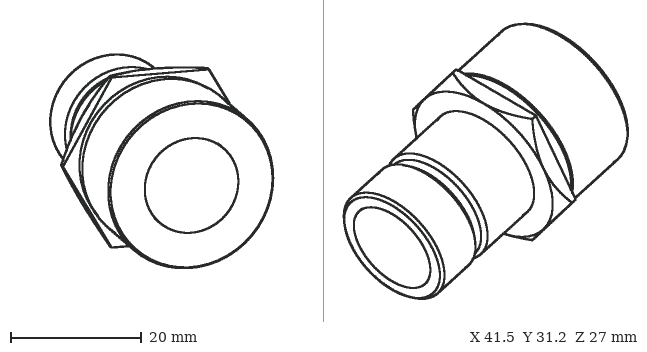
import cadquery as cq
import math

total_length = 41.5
groove_start = 8.1
groove_end = 11.05
hex_start = 22.45
hex_thickness = 3.0
neck_length = 2.15

bore_diameter = 15.0
spigot_diameter = 19.75
groove_diameter = 18.35
neck_diameter = 25.9
socket_diameter = 26.44
hex_sides = 6
across_flats = 27.0

spigot_chamfer = 0.5
socket_chamfer_length = 0.45
socket_chamfer_angle = 30.0
socket_shoulder_length = 0.15
hex_chamfer_angle = 45.0

x_start = -total_length / 2
x_end = x_start + total_length
hex_x = x_start + hex_start
neck_x = hex_x + hex_thickness
socket_x = neck_x + neck_length
across_corners = across_flats / math.cos(math.pi / hex_sides)
groove_depth = (spigot_diameter - groove_diameter) / 2


def cylinder(x, length, diameter):
    """Solid cylinder along X, beginning at x."""
    return cq.Workplane("YZ", origin=(x, 0, 0)).circle(diameter / 2).extrude(length)


def revolved(points):
    """Solid swept about the X axis from a closed (x, radius) outline."""
    outline = cq.Workplane("XY").polyline(points).close()
    return outline.revolve(360, (0, 0, 0), (1, 0, 0))


def make_spigot():
    """Spigot with a chamfered end and a groove with 45 degree walls."""
    spigot = cylinder(x_start, hex_start, spigot_diameter)
    spigot = spigot.faces("<X").chamfer(spigot_chamfer)
    outer_radius = spigot_diameter / 2
    inner_radius = groove_diameter / 2
    groove_left = x_start + groove_start
    groove_right = x_start + groove_end
    groove = revolved([
        (groove_left, outer_radius),
        (groove_left + groove_depth, inner_radius),
        (groove_right - groove_depth, inner_radius),
        (groove_right, outer_radius),
    ])
    return spigot.cut(groove)


def make_hexagon():
    """Wrench hexagon with flats on +Z and -Z, corners coned on the spigot side."""
    base = cq.Workplane("YZ", origin=(hex_x, 0, 0))
    hexagon = base.polygon(hex_sides, across_corners).extrude(hex_thickness)
    face_radius = across_flats / 2
    slope = math.tan(math.radians(hex_chamfer_angle))
    cone_radius = face_radius + hex_thickness / slope
    cone = revolved([
        (hex_x, 0),
        (hex_x, face_radius),
        (neck_x, cone_radius),
        (neck_x, 0),
    ])
    return hexagon.intersect(cone)


def make_socket():
    """Large cylindrical end with a coned shoulder at the neck and a chamfered open end."""
    socket_radius = socket_diameter / 2
    chamfer_drop = socket_chamfer_length * math.tan(math.radians(socket_chamfer_angle))
    return revolved([
        (socket_x, 0),
        (socket_x, neck_diameter / 2),
        (socket_x + socket_shoulder_length, socket_radius),
        (x_end - socket_chamfer_length, socket_radius),
        (x_end, socket_radius - chamfer_drop),
        (x_end, 0),
    ])


neck = cylinder(neck_x, neck_length, neck_diameter)
bore = cylinder(x_start, total_length, bore_diameter)

result = make_spigot().union(make_hexagon()).union(neck).union(make_socket()).cut(bore)